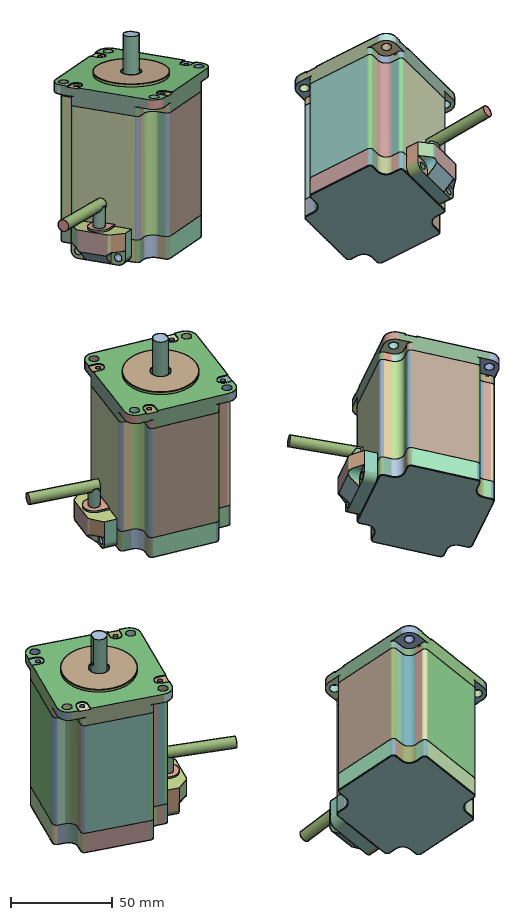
import cadquery as cq
import math

rear_cap_top = 12.0
stator_top = 77.0
flange_bottom = 82.0
flange_top = 86.9
pilot_top = 88.5
shaft_top = 108.0

side = 60.0
half_side = side / 2
notch_size = 11.0
notch_root_radius = 5.0
outer_edge_radius = 4.0 / 2

flange_corner_radius = 6.0
mount_hole_diameter = 5.0
mount_hole_spacing = 50.0
pilot_diameter = 38.1
shaft_opening_diameter = 10.0
pilot_edge_chamfer = 0.2
pocket_width = 6.0
pocket_depth = 0.5
pocket_hole_diameter = 2.5
pocket_hole_depth = flange_top - flange_bottom
pocket_hole_inset = 4.0
pocket_offset = 17.5

rear_edge_chamfer = 0.3

shaft_diameter = 8.0
flat_depth = 0.5
flat_length = 16.2

box_width = 30.0
box_depth = 13.0
box_height = 17.4
box_chamfer = 6.0
box_edge_radius = 4.0 / 2
lug_radius = 4.0
lug_hole_diameter = 4.0
lug_thickness = box_depth - box_chamfer

grommet_radius = 5.8
grommet_height = 1.0
cable_diameter = 6.0
riser_inset = 5.8
lead_level = 29.4
lead_angle = 4.0
lead_length = 37.2
lead_start_x = -0.1
lead_start_inset = 3.3


def motor_section(bottom, height):
    """Square prism with a rounded notch along each of its four corners."""
    section = cq.Workplane("XY").workplane(offset=bottom).rect(side, side).extrude(height)
    notches = (
        cq.Workplane("XY")
        .workplane(offset=bottom)
        .rect(side, side, forConstruction=True)
        .vertices()
        .rect(2 * notch_size, 2 * notch_size)
        .extrude(height)
        .edges("|Z")
        .fillet(notch_root_radius)
    )
    section = section.cut(notches)
    reach = half_side - notch_size
    for turn in range(4):
        for across in (-reach, reach):
            angle = math.radians(90 * turn)
            x = half_side * math.cos(angle) - across * math.sin(angle)
            y = half_side * math.sin(angle) + across * math.cos(angle)
            edge = cq.selectors.NearestToPointSelector((x, y, bottom + height / 2))
            section = section.edges("|Z").edges(edge).fillet(outer_edge_radius)
    return section


def pocket_cutter():
    """Round-ended recess open to the +Y edge of the flange, with its small hole."""
    hole_y = half_side - pocket_hole_inset
    floor = flange_top - pocket_depth
    recess = (
        cq.Workplane("XY")
        .workplane(offset=floor)
        .moveTo(pocket_offset - pocket_width / 2, half_side)
        .lineTo(pocket_offset - pocket_width / 2, hole_y)
        .radiusArc((pocket_offset + pocket_width / 2, hole_y), -pocket_width / 2)
        .lineTo(pocket_offset + pocket_width / 2, half_side)
        .close()
        .extrude(pocket_depth)
    )
    hole = (
        cq.Workplane("XY")
        .workplane(offset=floor)
        .center(pocket_offset, hole_y)
        .circle(pocket_hole_diameter / 2)
        .extrude(-pocket_hole_depth)
    )
    return recess.union(hole)


def make_front_cap():
    """Mounting flange with its pilot, on a notched skirt that meets the stator."""
    skirt = motor_section(stator_top, flange_bottom - stator_top)
    flange = (
        cq.Workplane("XY")
        .workplane(offset=flange_bottom)
        .rect(side, side)
        .extrude(flange_top - flange_bottom)
        .edges("|Z")
        .fillet(flange_corner_radius)
        .faces(">Z")
        .workplane()
        .rect(mount_hole_spacing, mount_hole_spacing, forConstruction=True)
        .vertices()
        .hole(mount_hole_diameter)
    )
    pilot = (
        cq.Workplane("XY")
        .workplane(offset=flange_top)
        .circle(pilot_diameter / 2)
        .extrude(pilot_top - flange_top)
    )
    cap = skirt.union(flange).union(pilot)
    cap = cap.faces(">Z").workplane(origin=(0, 0, pilot_top)).hole(shaft_opening_diameter)
    cap = cap.faces(">Z").edges().chamfer(pilot_edge_chamfer)
    for turn in range(4):
        cap = cap.cut(pocket_cutter().rotate((0, 0, 0), (0, 0, 1), 90 * turn))
    return cap


def make_stator():
    """Plain middle length of the motor."""
    return motor_section(rear_cap_top, stator_top - rear_cap_top)


def make_rear_cap():
    """Closed bottom end of the motor."""
    return motor_section(0, rear_cap_top).faces("<Z").edges().chamfer(rear_edge_chamfer)


def make_shaft():
    """Output shaft standing on the stator, with a flat on its +Y side."""
    shaft = (
        cq.Workplane("XY")
        .workplane(offset=stator_top)
        .circle(shaft_diameter / 2)
        .extrude(shaft_top - stator_top)
    )
    flat = (
        cq.Workplane("XY")
        .workplane(offset=shaft_top - flat_length)
        .center(0, shaft_diameter - flat_depth)
        .rect(shaft_diameter, shaft_diameter)
        .extrude(flat_length)
    )
    return shaft.cut(flat)


def make_outlet_box():
    """Cable outlet box with bevelled front corners and two screw lugs."""
    front = -half_side - box_depth
    lug_face = -half_side - lug_thickness
    box = (
        cq.Workplane("XY")
        .center(0, -half_side - box_depth / 2)
        .rect(box_width, box_depth)
        .extrude(box_height)
        .edges("|Z and <Y")
        .chamfer(box_chamfer)
        .edges("|Z and <Y")
        .fillet(box_edge_radius)
    )
    lower_bevel = (
        cq.Workplane("YZ")
        .moveTo(front, 0)
        .lineTo(front + box_chamfer, 0)
        .lineTo(front, box_chamfer)
        .close()
        .extrude(box_width / 2, both=True)
    )
    box = box.edges("|Y and <Z").fillet(lug_radius).cut(lower_bevel)
    for hand in (-1, 1):
        hole_x = hand * (box_width / 2 - lug_radius)
        recess = (
            cq.Workplane("XZ", origin=(hole_x, lug_face, lug_radius))
            .moveTo(-hand * lug_radius, -lug_radius)
            .lineTo(-hand * lug_radius, 0)
            .radiusArc((0, lug_radius), hand * lug_radius)
            .lineTo(hand * lug_radius, lug_radius)
            .lineTo(hand * lug_radius, -lug_radius)
            .close()
            .extrude(box_chamfer)
        )
        hole = (
            cq.Workplane("XZ", origin=(hole_x, -half_side, lug_radius))
            .circle(lug_hole_diameter / 2)
            .extrude(lug_thickness)
        )
        box = box.cut(recess).cut(hole)
    return box


def make_grommet():
    """Round-ended plate on top of the outlet box, with the cable standing on it."""
    centre_y = -half_side - riser_inset
    return (
        cq.Workplane("XY")
        .workplane(offset=box_height)
        .moveTo(-grommet_radius, -half_side)
        .lineTo(-grommet_radius, centre_y)
        .radiusArc((grommet_radius, centre_y), -grommet_radius)
        .lineTo(grommet_radius, -half_side)
        .close()
        .extrude(grommet_height)
    )


def make_cable_lead():
    """Horizontal length of cable, turned slightly away from the -Y direction."""
    angle = math.radians(lead_angle)
    direction = cq.Vector(-math.sin(angle), -math.cos(angle), 0)
    start = cq.Vector(lead_start_x, -half_side - lead_start_inset, lead_level)
    return cq.Workplane(cq.Solid.makeCylinder(cable_diameter / 2, lead_length, start, direction))


def make_cable_riser(lead):
    """Vertical length of cable, ending at the lead's axis and saddled around the lead."""
    bottom = box_height + grommet_height
    riser = (
        cq.Workplane("XY")
        .workplane(offset=bottom)
        .center(0, -half_side - riser_inset)
        .circle(cable_diameter / 2)
        .extrude(lead_level - bottom)
    )
    return riser.cut(lead)


front_cap = make_front_cap()
stator = make_stator()
rear_cap = make_rear_cap()
shaft = make_shaft()
outlet_box = make_outlet_box()
grommet = make_grommet()
cable_lead = make_cable_lead()
cable_riser = make_cable_riser(cable_lead)

result = cq.Compound.makeCompound([
    front_cap.val(),
    stator.val(),
    rear_cap.val(),
    shaft.val(),
    outlet_box.val(),
    grommet.val(),
    cable_riser.val(),
    cable_lead.val(),
])